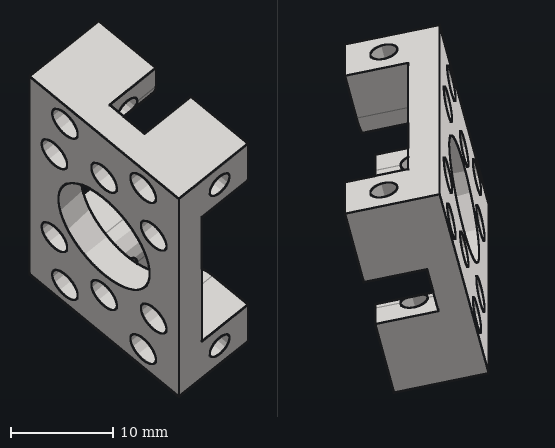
import cadquery as cq
import math

width = 20.85
depth = 9.55
height = 33.02

plate_thickness = 3.17
lug_height = 6.17
lug_gap = 4.85
lug_corner_radius = 3.07

bore_diameter = 12.7
hole_diameter = 3.55
bolt_circle_radius = 9.77
bolt_angles = [45, 90, 135, 225, 270, 315]
lug_hole_spacing_x = 10.9
lug_hole_spacing_z = 26.88

cross_hole_diameter = 2.7
cross_hole_y = 5.6


def front_holes(points, diameter):
    """Cylinders along Y at (X, Z) points, running the full depth."""
    return cq.Workplane("XZ").pushPoints(points).circle(diameter / 2).extrude(-depth)


body = cq.Workplane("XY").box(width, plate_thickness, height).translate((0, plate_thickness / 2, 0))

lug_width = (width - lug_gap) / 2
lug = (
    cq.Workplane("XY")
    .box(lug_width, depth - plate_thickness, lug_height)
    .edges("|Y").edges("<X").edges("<Z")
    .fillet(lug_corner_radius)
    .translate(((lug_gap + lug_width) / 2, (plate_thickness + depth) / 2, (height - lug_height) / 2))
)
lug_pair = lug.union(lug.mirror("YZ"))
body = body.union(lug_pair).union(lug_pair.mirror("XY"))

body = body.cut(front_holes([(0, 0)], bore_diameter))
bolt_points = [
    (
        bolt_circle_radius * math.cos(math.radians(angle)),
        bolt_circle_radius * math.sin(math.radians(angle)),
    )
    for angle in bolt_angles
]
body = body.cut(front_holes(bolt_points, hole_diameter))

lug_points = [
    (side * lug_hole_spacing_x / 2, end * lug_hole_spacing_z / 2)
    for side in (-1, 1)
    for end in (-1, 1)
]
body = body.cut(front_holes(lug_points, hole_diameter))

cross_points = [(cross_hole_y, end * lug_hole_spacing_z / 2) for end in (-1, 1)]
cross_holes = (
    cq.Workplane("YZ")
    .pushPoints(cross_points)
    .circle(cross_hole_diameter / 2)
    .extrude(width / 2, both=True)
)
result = body.cut(cross_holes)